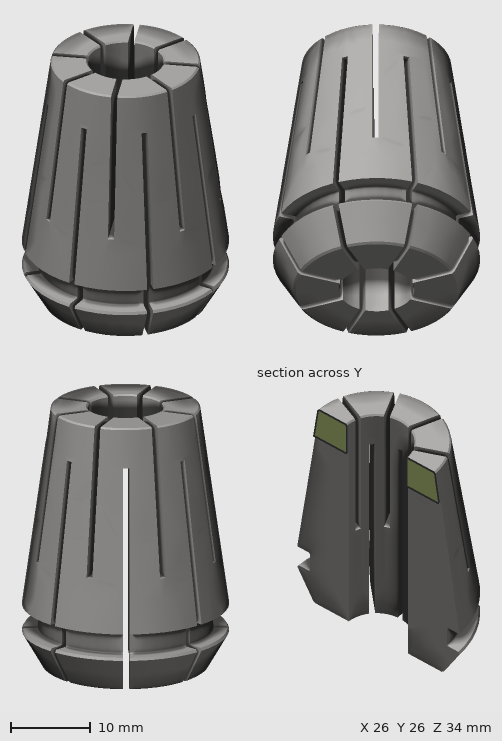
import cadquery as cq
import math

height = 34.0
max_radius = 13.0
bore_radius = 4.75
edge_break = 0.2

taper_angle = 8.0
taper_base_z = 8.1
top_radius = max_radius - (height - taper_base_z) * math.tan(math.radians(taper_angle))

groove_radius = 10.98
groove_base_z = 4.95
groove_corner_radius = 0.2

collar_angle = 30.0
collar_rim_drop = 0.35
collar_rim_z = groove_base_z - collar_rim_drop
collar_rim_inset = 0.2
base_radius = max_radius - collar_rim_z * math.tan(math.radians(collar_angle))

slot_width = 0.78
slots_per_end = 8
slot_pitch = 360.0 / slots_per_end
base_slot_end_z = 29.0
top_slot_end_z = 14.9


def collet_body():
    """Revolved half section of the collet, on the axis Z."""
    top_taper_inset = edge_break * math.tan(math.radians(taper_angle))
    base_taper_inset = edge_break * math.tan(math.radians(collar_angle))
    corner_radius = groove_radius + groove_corner_radius
    corner_mid = groove_corner_radius * (1 - math.sqrt(0.5))
    section = (
        cq.Workplane("XZ")
        .moveTo(bore_radius, 0)
        .lineTo(base_radius - edge_break, 0)
        .lineTo(base_radius + base_taper_inset, edge_break)
        .lineTo(max_radius, collar_rim_z)
        .lineTo(max_radius - collar_rim_inset, groove_base_z)
        .lineTo(corner_radius, groove_base_z)
        .threePointArc(
            (groove_radius + corner_mid, groove_base_z + corner_mid),
            (groove_radius, groove_base_z + groove_corner_radius),
        )
        .lineTo(groove_radius, taper_base_z - groove_corner_radius)
        .threePointArc(
            (groove_radius + corner_mid, taper_base_z - corner_mid),
            (corner_radius, taper_base_z),
        )
        .lineTo(max_radius, taper_base_z)
        .lineTo(top_radius + top_taper_inset, height - edge_break)
        .lineTo(top_radius - edge_break, height)
        .lineTo(bore_radius + edge_break, height)
        .lineTo(bore_radius, height - edge_break)
        .close()
    )
    return section.revolve(360, (0, 0, 0), (0, 1, 0))


def slot_cutter(bottom_z, top_z, angle):
    """Flat-ended blade running from the axis out past the rim at the given angle."""
    return (
        cq.Workplane("XY", origin=(0, 0, bottom_z))
        .rect(2 * max_radius, slot_width)
        .extrude(top_z - bottom_z)
        .translate((max_radius, 0, 0))
        .rotate((0, 0, 0), (0, 0, 1), angle)
    )


result = collet_body()
for index in range(slots_per_end):
    base_slot_angle = index * slot_pitch
    top_slot_angle = base_slot_angle + slot_pitch / 2
    result = result.cut(slot_cutter(0, base_slot_end_z, base_slot_angle))
    result = result.cut(slot_cutter(top_slot_end_z, height, top_slot_angle))